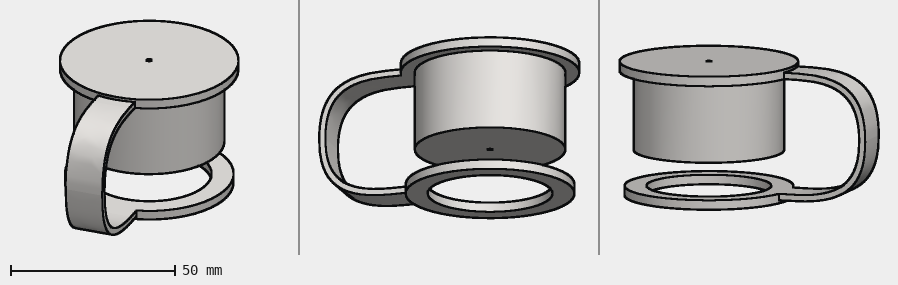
import cadquery as cq

total_height = 41.5
total_depth = 80.2

cap_diameter = 54.5
plate_thickness = 3.0
plug_diameter = 46.0
plug_length = 24.5
vent_diameter = 1.5

ring_outer_diameter = 51.5
ring_inner_diameter = 38.0

strap_width = 12.0
strap_thickness = 2.0
strap_straight_length = 4.0
strap_root = -23.3
bend_fullness = 0.71

cap_bottom = total_height - plate_thickness
upper_bend_start = -(cap_diameter / 2 + strap_straight_length)
lower_bend_start = -(ring_outer_diameter / 2 + strap_straight_length)
strap_tip = cap_diameter / 2 - total_depth
middle_height = total_height / 2
strap_half_height = cap_bottom + strap_thickness - middle_height


def disc(diameter, bottom, height):
    """Solid disc centred on the Z axis."""
    return cq.Workplane("XY").workplane(offset=bottom).circle(diameter / 2).extrude(height)


def strap_loop(inset):
    """Solid bounded by the strap's outer face moved inwards by inset."""
    half_height = strap_half_height - inset
    tip = strap_tip + inset
    top = middle_height + half_height
    bottom = middle_height - half_height
    upper_curve = [
        (upper_bend_start - bend_fullness * (upper_bend_start - tip), top),
        (tip, middle_height + bend_fullness * half_height),
        (tip, middle_height),
    ]
    lower_curve = [
        (tip, middle_height - bend_fullness * half_height),
        (lower_bend_start - bend_fullness * (lower_bend_start - tip), bottom),
        (lower_bend_start, bottom),
    ]
    return (
        cq.Workplane("YZ", origin=(-strap_width / 2, 0, 0))
        .moveTo(strap_root, top)
        .lineTo(upper_bend_start, top)
        .bezier(upper_curve, includeCurrent=True)
        .bezier(lower_curve, includeCurrent=True)
        .lineTo(strap_root, bottom)
        .close()
        .extrude(strap_width)
    )


plug = disc(plug_diameter, cap_bottom - plug_length, plug_length)
cap = disc(cap_diameter, cap_bottom, plate_thickness).union(plug)
vent = disc(vent_diameter, 0, total_height)
cap = cap.cut(vent)

ring = disc(ring_outer_diameter, 0, plate_thickness)
ring = ring.cut(disc(ring_inner_diameter, 0, plate_thickness))

strap = strap_loop(0).cut(strap_loop(strap_thickness))

result = cap.union(ring).union(strap)